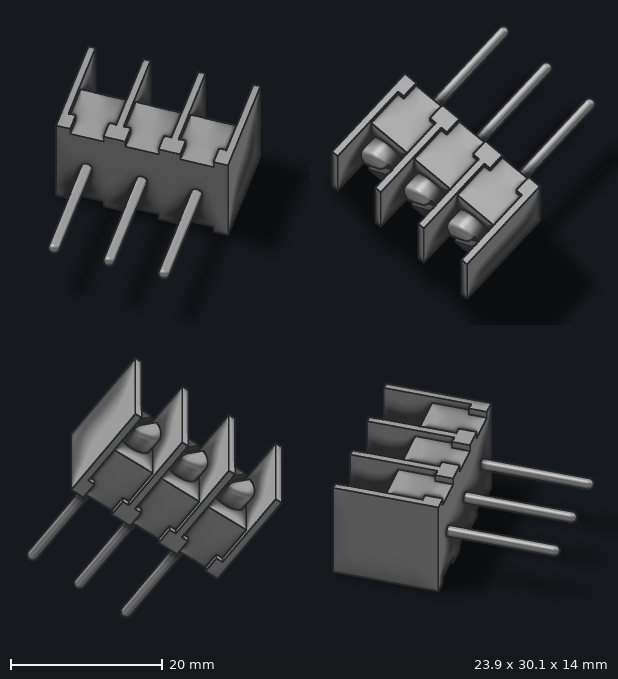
import cadquery as cq

pole_count = 3
pitch = 7.62

wall_thickness = 1.0
housing_height = 14.0
housing_depth = 14.6
body_depth = 7.9
body_recess = 1.0
foot_width = 3.0
foot_depth = 2.5
end_foot_width = (foot_width + wall_thickness) / 2
housing_width = pole_count * pitch + wall_thickness
body_height = housing_height - 2 * body_recess

pin_diameter = 1.5
pin_length = 15.5
pin_tip_radius = pin_diameter / 2

head_diameter = 6.0
head_height = 3.0
head_edge_radius = 1.0
slot_width = 1.0
slot_depth = 1.0
slot_angle = 50.0

pole_positions = [(i - (pole_count - 1) / 2) * pitch for i in range(pole_count)]
wall_positions = [(i - pole_count / 2) * pitch for i in range(pole_count + 1)]


def block(width, depth, height, center_x):
    """Box standing on the pin face, centered on Z = 0."""
    box = cq.Workplane("XY").box(width, depth, height, centered=(True, False, True))
    return box.translate((center_x, 0, 0))


def make_housing():
    """Recessed body with full-height partition walls and their widened feet."""
    housing = block(housing_width, body_depth, body_height, 0)
    for x in wall_positions:
        housing = housing.union(block(wall_thickness, housing_depth, housing_height, x))
    for x in wall_positions[1:-1]:
        housing = housing.union(block(foot_width, foot_depth, housing_height, x))
    end_foot_x = (housing_width - end_foot_width) / 2
    for x in (-end_foot_x, end_foot_x):
        housing = housing.union(block(end_foot_width, foot_depth, housing_height, x))
    return housing


def make_pin(x):
    """Round-ended pin pointing toward -Y, revolved about its own axis."""
    shoulder_y = -(pin_length - pin_tip_radius)
    profile = (
        cq.Workplane("XY")
        .lineTo(pin_tip_radius, 0)
        .lineTo(pin_tip_radius, shoulder_y)
        .radiusArc((0, -pin_length), pin_tip_radius)
        .close()
    )
    return profile.revolve(360, (0, 0, 0), (0, 1, 0)).translate((x, 0, 0))


def make_screw_head(x):
    """Slotted screw head with a rounded rim, standing on the body toward +Y."""
    head = cq.Workplane("XY").circle(head_diameter / 2).extrude(head_height)
    head = head.faces(">Z").edges().fillet(head_edge_radius)
    slot = (
        cq.Workplane("XY")
        .workplane(offset=head_height - slot_depth)
        .rect(head_diameter, slot_width)
        .extrude(slot_depth)
        .rotate((0, 0, 0), (0, 0, 1), slot_angle)
    )
    head = head.cut(slot)
    return head.rotate((0, 0, 0), (1, 0, 0), -90).translate((x, body_depth, 0))


result = make_housing()
for pole_x in pole_positions:
    result = result.union(make_pin(pole_x))
    result = result.union(make_screw_head(pole_x))